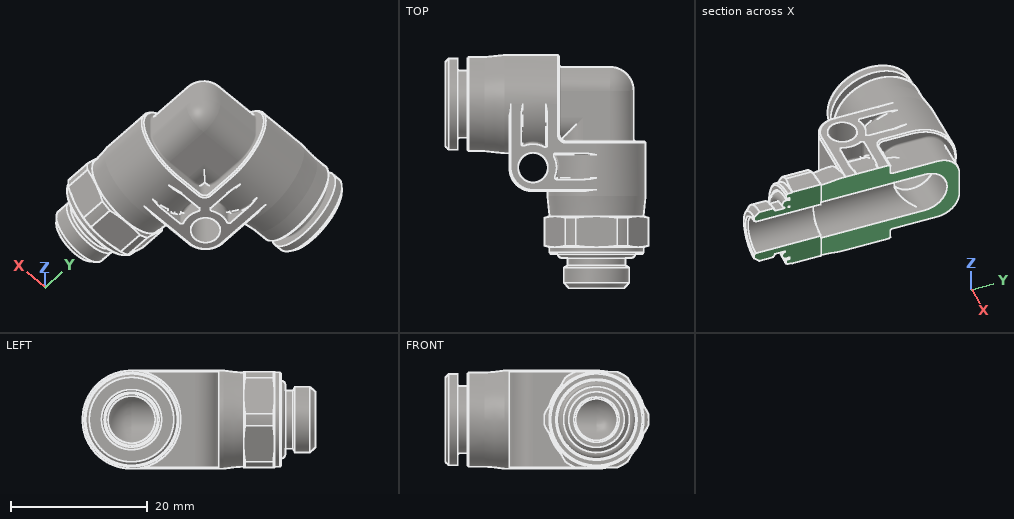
import cadquery as cq


arm_radius = 7.2
arm_root = 5.42
taper_start = 13.45
taper_end = 16.37
taper_radius = 6.9
edge_break = 0.25

core_half = 5.45
core_round = 3.5
core_blend = 0.27

hole_place = -9.28
hole_radius = 2.15
bracket_round = 3.48
rib_thickness = 1.75
bracket_outer = hole_place - bracket_round
boss_radius = 3.45
inner_corner_round = 1.02
pocket_corner_round = 0.35
pocket_overrun = 1.7
floor_blend = 0.25

sleeve_end = 18.85
sleeve_chamfer = 0.2
collar_inner_face = 20.25
collar_outer_face = 22.1
collar_radius = 6.7
collar_chamfer = 0.5
neck_radius = 4.95
neck_fillet = 0.2
tube_radius = 4.02
tube_lead_in = 0.38
stop_radius = 3.8
bend_radius = 3.45

hex_across_flats = 14.0
hex_corner_radius = 7.65
hex_turn = 30
hex_end = 20.9
hex_chamfer_height = 0.25
flange_radius = 6.92
flange_end = 21.9
flange_chamfer = 0.25
groove_radius = 5.95
groove_floor = 21.3
ring_radius = 4.98
ring_section = 0.75
ring_place = 21.75
relief_radius = 4.25
thread_radius = 4.8
thread_start = 23.55
thread_full = 23.87
thread_end = 26.05
stud_end = 26.9
tip_radius = 4.05
stud_bore_radius = 3.05
stud_bore_chamfer = 0.27

swap_normal = cq.Vector(1, -1, 0)


def to_stud_arm(shape):
    """Copy of a shape on the socket arm, moved to the stud arm."""
    return shape.mirror(swap_normal)


def revolve_on_socket_axis(points):
    """Solid of revolution about X; points are (distance along -X, radius)."""
    outline = [(-distance, radius) for distance, radius in points]
    return cq.Workplane("XY").polyline(outline).close().revolve(360, (0, 0, 0), (1, 0, 0))


def make_arm():
    return revolve_on_socket_axis([
        (arm_root, 0),
        (arm_root, arm_radius - edge_break),
        (arm_root + edge_break, arm_radius),
        (taper_start, arm_radius),
        (taper_end, taper_radius),
        (taper_end, 0),
    ])


def make_limb():
    """One arm with its rounded core block, reaching to the outer corner of the bend."""
    length = core_half + taper_start
    block = cq.Workplane("XY").box(length, 2 * core_half, 2 * core_half)
    block = block.edges().fillet(core_round).translate((core_half - length / 2, 0, 0))
    limb = block.union(make_arm())

    reach = core_half + edge_break
    junction = cq.selectors.BoxSelector(
        (-arm_root - edge_break / 2, -reach, -reach),
        (-arm_root + edge_break / 2, reach, reach),
        boundingbox=True,
    )
    return limb.edges(junction).fillet(core_blend)


def make_pocket():
    """Tool for the upper pocket between the socket-arm ribs, its floor lying on the arm."""
    left = bracket_outer + rib_thickness
    right = -arm_root - rib_thickness
    pocket = (
        cq.Workplane("XY")
        .box(right - left, pocket_overrun - hole_place, arm_radius + pocket_overrun, centered=False)
        .translate((left, hole_place, 0))
    )
    boss = cq.Workplane("XY").center(hole_place, hole_place).circle(boss_radius)
    pocket = pocket.cut(boss.extrude(arm_radius + pocket_overrun))
    rounded_corners = pocket.edges("|Z and (not >Y)").fillet(pocket_corner_round)

    arm_bar = cq.Workplane("YZ").circle(arm_radius).extrude(-taper_start)
    pocket = pocket.cut(arm_bar)
    floor = cq.selectors.NearestToPointSelector(((left + right) / 2, hole_place / 4, arm_radius))
    pocket = pocket.faces(floor).edges("not >Y").fillet(floor_blend)
    return pocket.intersect(rounded_corners)


def make_bracket():
    """Full-height bracket with four ribs; the mounting hole is still closed."""
    plate = (
        cq.Workplane("XY")
        .moveTo(bracket_outer, 0)
        .lineTo(bracket_outer, hole_place)
        .radiusArc((hole_place, bracket_outer), -bracket_round)
        .lineTo(0, bracket_outer)
        .lineTo(0, -arm_root)
        .lineTo(-arm_root, -arm_root)
        .lineTo(-arm_root, 0)
        .close()
        .extrude(arm_radius, both=True)
    )
    inner_corner = cq.selectors.NearestToPointSelector((-arm_root, -arm_root, 0))
    plate = plate.edges(inner_corner).fillet(inner_corner_round)
    rims = plate.faces("|Z").edges()
    rims = rims.filter(lambda edge: max(edge.Center().x, edge.Center().y) < -edge_break)
    plate = rims.chamfer(edge_break)
    upper_pocket = make_pocket()
    for pocket in (upper_pocket, upper_pocket.mirror("XY")):
        plate = plate.cut(pocket).cut(to_stud_arm(pocket))
    return plate


def make_sleeve():
    """Socket sleeve, neck and release collar at the end of the socket arm."""
    sleeve = revolve_on_socket_axis([
        (taper_end, 0),
        (taper_end, taper_radius),
        (sleeve_end - sleeve_chamfer, taper_radius),
        (sleeve_end, taper_radius - sleeve_chamfer),
        (sleeve_end, neck_radius),
        (collar_inner_face, neck_radius),
        (collar_inner_face, collar_radius),
        (collar_outer_face - collar_chamfer, collar_radius),
        (collar_outer_face, collar_radius - collar_chamfer),
        (collar_outer_face, 0),
    ])
    reach = neck_radius + neck_fillet
    neck_corner = cq.selectors.BoxSelector(
        (-collar_inner_face - neck_fillet, -reach, -reach),
        (-collar_inner_face + neck_fillet, reach, reach),
        boundingbox=True,
    )
    return sleeve.edges(neck_corner).fillet(neck_fillet)


def make_socket_bore():
    stop_chamfer = stop_radius - bend_radius
    return revolve_on_socket_axis([
        (0, 0),
        (0, bend_radius),
        (arm_root - stop_chamfer, bend_radius),
        (arm_root, stop_radius),
        (arm_root, tube_radius),
        (collar_outer_face - tube_lead_in, tube_radius),
        (collar_outer_face, tube_radius + tube_lead_in),
        (collar_outer_face, 0),
    ])


def make_elbow():
    limb = make_limb()
    body = limb.union(to_stud_arm(limb)).union(make_bracket()).union(make_sleeve())

    hole = cq.Workplane("XY").center(hole_place, hole_place).circle(hole_radius)
    stud_side_bore = revolve_on_socket_axis([
        (0, 0),
        (0, bend_radius),
        (taper_end, bend_radius),
        (taper_end, 0),
    ])
    body = body.cut(hole.extrude(arm_radius, both=True))
    body = body.cut(cq.Workplane("XY").sphere(bend_radius))
    return body.cut(make_socket_bore()).cut(to_stud_arm(stud_side_bore))


def make_hex():
    """Hexagon with turned corners and chamfered ends, flats facing up and down."""
    prism = (
        cq.Workplane("YZ")
        .polygon(6, hex_across_flats, circumscribed=True)
        .extrude(hex_end - taper_end)
        .rotate((0, 0, 0), (1, 0, 0), hex_turn)
        .translate((-hex_end, 0, 0))
    )
    turned = revolve_on_socket_axis([
        (taper_end, 0),
        (taper_end, flange_radius),
        (taper_end + hex_chamfer_height, hex_corner_radius),
        (hex_end - hex_chamfer_height, hex_corner_radius),
        (hex_end, flange_radius),
        (hex_end, 0),
    ])
    return prism.intersect(turned)


def make_stud():
    shank = revolve_on_socket_axis([
        (hex_end, 0),
        (hex_end, flange_radius),
        (flange_end - flange_chamfer, flange_radius),
        (flange_end, flange_radius - flange_chamfer),
        (flange_end, groove_radius),
        (groove_floor, groove_radius),
        (groove_floor, relief_radius),
        (thread_start, relief_radius),
        (thread_full, thread_radius),
        (thread_end, thread_radius),
        (stud_end, tip_radius),
        (stud_end, 0),
    ])
    bead = (
        cq.Workplane("XY")
        .center(-ring_place, ring_radius)
        .circle(ring_section)
        .revolve(360, (0, -ring_radius, 0), (1, -ring_radius, 0))
    )
    bore = revolve_on_socket_axis([
        (taper_end, 0),
        (taper_end, stud_bore_radius),
        (stud_end - stud_bore_chamfer, stud_bore_radius),
        (stud_end, stud_bore_radius + stud_bore_chamfer),
        (stud_end, 0),
    ])
    return to_stud_arm(make_hex().union(shank).union(bead).cut(bore))


elbow = make_elbow()
stud = make_stud()

result = cq.Compound.makeCompound([elbow.val(), stud.val()])